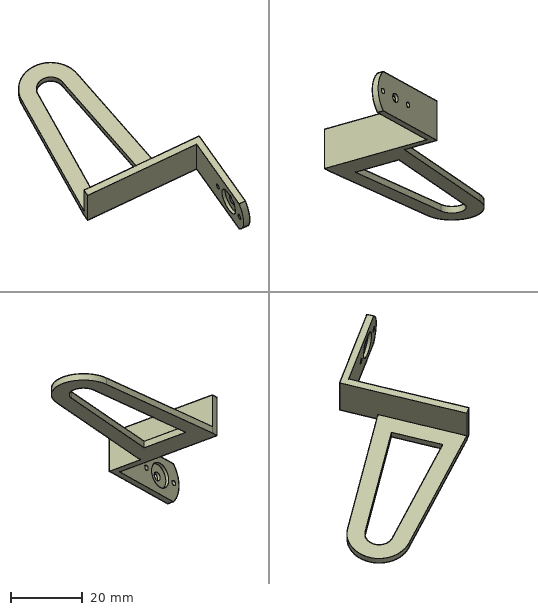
import cadquery as cq
import math

total_length = 78.4
total_width = 37.25
total_height = 12.0

wall_x = 50.0
wall_thickness = 2.1

loop_thickness = 2.0
loop_base_width = 26.0
loop_nose_radius = 9.0
loop_rim = 5.0
loop_center_y = loop_base_width / 2

flange_thickness = 2.0
boss_x = 70.0
tip_radius = total_length - boss_x
center_hole_diameter = 2.5
recess_diameter = 7.5
recess_depth = 1.0
screw_hole_diameter = 1.5
screw_hole_offset = 6.0
mid_z = total_height / 2

base_run = wall_x - loop_nose_radius
base_half_width = loop_base_width / 2
taper = math.atan2(base_half_width, base_run) - math.asin(
    loop_nose_radius / math.hypot(base_run, base_half_width)
)


def tapered_profile(nose_radius, end_x, depth):
    """Tapered plate with a round nose tangent to both sides and a straight end."""
    tangent_x = loop_nose_radius - nose_radius * math.sin(taper)
    tangent_y = nose_radius * math.cos(taper)
    end_y = tangent_y + (end_x - tangent_x) * math.tan(taper)
    return (
        cq.Workplane("XY")
        .moveTo(end_x, loop_center_y - end_y)
        .lineTo(end_x, loop_center_y + end_y)
        .lineTo(tangent_x, loop_center_y + tangent_y)
        .threePointArc(
            (loop_nose_radius - nose_radius, loop_center_y),
            (tangent_x, loop_center_y - tangent_y),
        )
        .close()
        .extrude(depth)
    )


def make_loop():
    """Flat loop with a rim of constant width."""
    plate = tapered_profile(loop_nose_radius, wall_x, loop_thickness)
    opening = tapered_profile(loop_nose_radius - loop_rim, wall_x - loop_rim, loop_thickness)
    return plate.cut(opening)


def make_wall():
    """Upright wall joining the loop to the flange."""
    return cq.Workplane("XY").box(
        wall_thickness, total_width, total_height, centered=False
    ).translate((wall_x, 0, 0))


def flange_cylinder(x, diameter, depth):
    """Cylinder running from the front face of the flange into it."""
    front_y = total_width - flange_thickness
    return (
        cq.Workplane("XZ", origin=(x, front_y, mid_z))
        .circle(diameter / 2)
        .extrude(-depth)
    )


def make_flange():
    """Flange with a tip rounded about the center hole, a recess and screw holes."""
    corner_x = boss_x + math.sqrt(tip_radius**2 - mid_z**2)
    flange = (
        cq.Workplane("XZ", origin=(0, total_width, 0))
        .moveTo(wall_x, 0)
        .lineTo(corner_x, 0)
        .threePointArc((total_length, mid_z), (corner_x, total_height))
        .lineTo(wall_x, total_height)
        .close()
        .extrude(flange_thickness)
    )
    flange = flange.cut(flange_cylinder(boss_x, recess_diameter, recess_depth))
    flange = flange.cut(flange_cylinder(boss_x, center_hole_diameter, flange_thickness))
    for side in (-1, 1):
        screw_x = boss_x + side * screw_hole_offset
        flange = flange.cut(flange_cylinder(screw_x, screw_hole_diameter, flange_thickness))
    return flange


result = make_loop().union(make_wall()).union(make_flange())